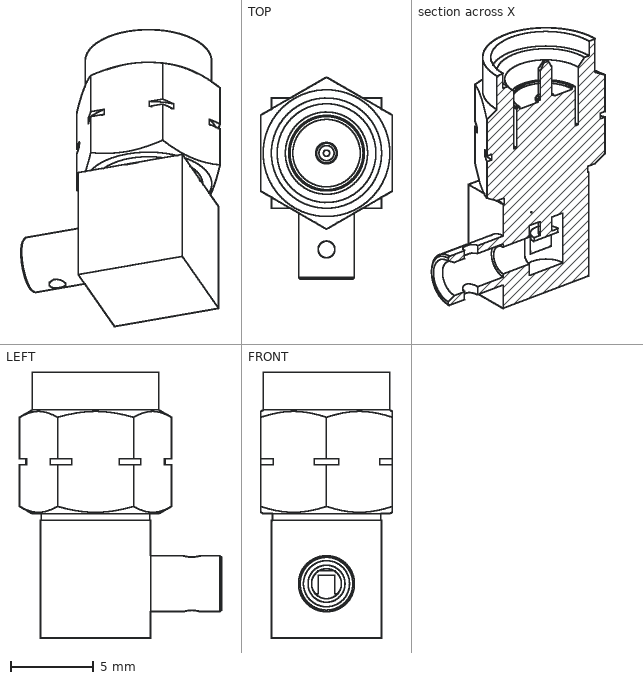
import cadquery as cq
import math


BODY_WIDTH = 6.7
BODY_HEIGHT = 7.15
BODY_BOTTOM = -3.3
BODY_TOP = BODY_BOTTOM + BODY_HEIGHT
NECK_RADIUS = 3.3
NECK_HEIGHT = 0.4

NUT_ACROSS_FLATS = 8.0
HEX_HALF_ANGLE = 30
NUT_ACROSS_CORNERS = NUT_ACROSS_FLATS / math.cos(math.radians(HEX_HALF_ANGLE))
NUT_HEX_HEIGHT = 6.3
NUT_COLLAR_RADIUS = 3.85
NUT_COLLAR_HEIGHT = 2.3
NUT_CHAMFER_ANGLE = 30
NUT_BOTTOM = BODY_TOP + NECK_HEIGHT
NUT_MIDDLE = NUT_BOTTOM + NUT_HEX_HEIGHT / 2
NUT_HEX_TOP = NUT_BOTTOM + NUT_HEX_HEIGHT
NUT_TOP = NUT_HEX_TOP + NUT_COLLAR_HEIGHT
CORNER_GROOVE_RADIUS = 4.25
CORNER_GROOVE_WIDTH = 0.35

COUNTERBORE_RADIUS = 3.35
COUNTERBORE_DEPTH = 1.0
BORE_RADIUS = 2.5
BORE_LEAD_RADIUS = 3.0
BORE_LEAD_DEPTH = 0.5
BORE_FLOOR = NUT_MIDDLE
SLEEVE_RADIUS = 2.3
SLEEVE_TOP = NUT_TOP - 2.72
SLEEVE_CHAMFER = 0.08
SLEEVE_RECESS_RADIUS = 2.05
SLEEVE_RECESS_DEPTH = 0.14
DIELECTRIC_TOP = SLEEVE_TOP - SLEEVE_RECESS_DEPTH

PIN_RADIUS = 0.46
PIN_TOP = NUT_TOP - 0.31
PIN_TIP_RADIUS = 0.19
PIN_TAPER_LENGTH = 0.48
PIN_COLLAR_RADIUS = 0.65
PIN_COLLAR_TOP_RADIUS = 0.6
PIN_COLLAR_HEIGHT = 0.1
CONTACT_RADIUS = 0.95
CONTACT_TOP = 0.78
CONTACT_BOTTOM = -0.6
CONTACT_SLOT_WIDTH = 0.98
CONTACT_SLOT_TOP = 0.5

CAVITY_RADIUS = 1.3
CAVITY_HALF_HEIGHT = 1.7

FERRULE_RADIUS = 1.7
FERRULE_LENGTH = 4.3
FERRULE_START = -BODY_WIDTH / 2
FERRULE_END = FERRULE_START - FERRULE_LENGTH
FERRULE_RIM_RADIUS = 1.6
FERRULE_RIM_LENGTH = 0.1
FERRULE_BORE_RADIUS = 1.125
COUNTERSINK_RADIUS = 1.4
COUNTERSINK_DEPTH = 0.48
CABLE_HOLE_RADIUS = 0.91
CROSS_HOLE_RADIUS = 0.5
CROSS_HOLE_OFFSET = 1.8


def cylinder(radius, bottom, top):
    """Vertical cylinder on the connector axis."""
    return cq.Workplane("XY").workplane(offset=bottom).circle(radius).extrude(top - bottom)


def revolve_on_z(points):
    """Solid of revolution about Z from (radius, z) points."""
    return cq.Workplane("XZ").polyline(points).close().revolve(360, (0, 0), (0, 1))


def revolve_on_y(points):
    """Solid of revolution about Y from (radius, y) points."""
    return cq.Workplane("XY").polyline(points).close().revolve(360, (0, 0), (0, 1))


def make_body():
    block = (
        cq.Workplane("XY")
        .workplane(offset=BODY_BOTTOM)
        .rect(BODY_WIDTH, BODY_WIDTH)
        .extrude(BODY_HEIGHT)
    )
    return block.union(cylinder(NECK_RADIUS, BODY_TOP, NUT_BOTTOM))


def make_hexagon():
    """Hexagon with conically chamfered ends and a groove cut into its corners."""
    corner_radius = NUT_ACROSS_CORNERS / 2
    chamfer_height = (corner_radius - NUT_COLLAR_RADIUS) * math.tan(math.radians(NUT_CHAMFER_ANGLE))
    hexagon = (
        cq.Workplane("XY")
        .workplane(offset=NUT_BOTTOM)
        .transformed(rotate=(0, 0, HEX_HALF_ANGLE))
        .polygon(6, NUT_ACROSS_CORNERS)
        .extrude(NUT_HEX_HEIGHT)
    )
    envelope = revolve_on_z([
        (0, NUT_BOTTOM),
        (NUT_COLLAR_RADIUS, NUT_BOTTOM),
        (corner_radius, NUT_BOTTOM + chamfer_height),
        (corner_radius, NUT_HEX_TOP - chamfer_height),
        (NUT_COLLAR_RADIUS, NUT_HEX_TOP),
        (0, NUT_HEX_TOP),
    ])
    groove_bottom = NUT_MIDDLE - CORNER_GROOVE_WIDTH / 2
    groove_top = NUT_MIDDLE + CORNER_GROOVE_WIDTH / 2
    groove = cylinder(NUT_ACROSS_CORNERS, groove_bottom, groove_top).cut(
        cylinder(CORNER_GROOVE_RADIUS, groove_bottom, groove_top)
    )
    return hexagon.intersect(envelope).cut(groove)


def make_nut():
    collar = cylinder(NUT_COLLAR_RADIUS, NUT_HEX_TOP, NUT_TOP)
    shelf = NUT_TOP - COUNTERBORE_DEPTH
    bore = revolve_on_z([
        (0, BORE_FLOOR),
        (BORE_RADIUS, BORE_FLOOR),
        (BORE_RADIUS, shelf - BORE_LEAD_DEPTH),
        (BORE_LEAD_RADIUS, shelf),
        (COUNTERBORE_RADIUS, shelf),
        (COUNTERBORE_RADIUS, NUT_TOP),
        (0, NUT_TOP),
    ])
    return make_hexagon().union(collar).cut(bore)


def make_sleeve():
    """Outer conductor with a chamfered rim, filled by the recessed dielectric."""
    return revolve_on_z([
        (0, BORE_FLOOR),
        (SLEEVE_RADIUS, BORE_FLOOR),
        (SLEEVE_RADIUS, SLEEVE_TOP - SLEEVE_CHAMFER),
        (SLEEVE_RADIUS - SLEEVE_CHAMFER, SLEEVE_TOP),
        (SLEEVE_RECESS_RADIUS, SLEEVE_TOP),
        (SLEEVE_RECESS_RADIUS, DIELECTRIC_TOP),
        (0, DIELECTRIC_TOP),
    ])


def make_pin():
    """Pin with a small chamfered collar where it leaves the dielectric."""
    return revolve_on_z([
        (0, DIELECTRIC_TOP),
        (PIN_COLLAR_RADIUS, DIELECTRIC_TOP),
        (PIN_COLLAR_TOP_RADIUS, DIELECTRIC_TOP + PIN_COLLAR_HEIGHT),
        (PIN_RADIUS, DIELECTRIC_TOP + PIN_COLLAR_HEIGHT),
        (PIN_RADIUS, PIN_TOP - PIN_TAPER_LENGTH),
        (PIN_TIP_RADIUS, PIN_TOP),
        (0, PIN_TOP),
    ])


def make_ferrule():
    return revolve_on_y([
        (0, FERRULE_START),
        (FERRULE_RADIUS, FERRULE_START),
        (FERRULE_RADIUS, FERRULE_END + FERRULE_RIM_LENGTH),
        (FERRULE_RIM_RADIUS, FERRULE_END),
        (0, FERRULE_END),
    ])


def make_cable_bore():
    """Countersunk bore through the ferrule, narrowing on its way into the cavity."""
    return revolve_on_y([
        (0, FERRULE_END),
        (COUNTERSINK_RADIUS, FERRULE_END),
        (FERRULE_BORE_RADIUS, FERRULE_END + COUNTERSINK_DEPTH),
        (FERRULE_BORE_RADIUS, FERRULE_START),
        (CABLE_HOLE_RADIUS, FERRULE_START),
        (CABLE_HOLE_RADIUS, 0),
        (0, 0),
    ])


def make_cross_hole():
    """Vertical hole through both walls of the ferrule."""
    return cylinder(CROSS_HOLE_RADIUS, -FERRULE_RADIUS, FERRULE_RADIUS).translate(
        (0, FERRULE_END + CROSS_HOLE_OFFSET, 0)
    )


def make_contact():
    """Inner end of the centre contact, hung from the cavity roof and slotted for the wire."""
    stem = cylinder(PIN_RADIUS, CONTACT_TOP, CAVITY_HALF_HEIGHT)
    head = cylinder(CONTACT_RADIUS, CONTACT_BOTTOM, CONTACT_TOP)
    slot_height = CONTACT_SLOT_TOP - CONTACT_BOTTOM
    slot = cq.Workplane("XY").box(CONTACT_SLOT_WIDTH, 2 * CONTACT_RADIUS, slot_height).translate(
        (0, 0, CONTACT_BOTTOM + slot_height / 2)
    )
    return head.cut(slot).union(stem)


cavity = cylinder(CAVITY_RADIUS, -CAVITY_HALF_HEIGHT, CAVITY_HALF_HEIGHT)
result = (
    make_body()
    .union(make_nut())
    .union(make_sleeve())
    .union(make_pin())
    .union(make_ferrule())
    .cut(make_cable_bore())
    .cut(cavity)
    .cut(make_cross_hole())
    .union(make_contact())
)